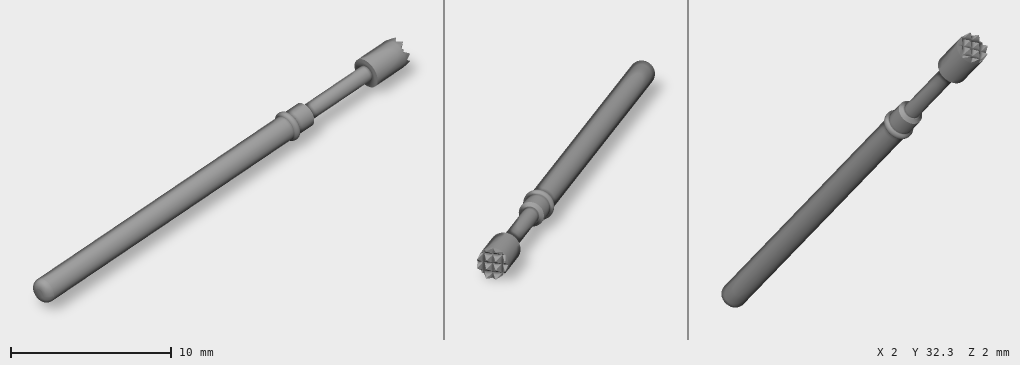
import cadquery as cq

TOTAL_LENGTH = 32.3

BARREL_RADIUS = 0.82
REAR_FACE_RADIUS = 0.35
REAR_ROUND_RADIUS = BARREL_RADIUS - REAR_FACE_RADIUS
BARREL_LENGTH = 24.0
BARREL_CHAMFER_LENGTH = 0.2
BARREL_CHAMFER_RADIUS = 0.6

RING_RADIUS = 1.0
RING_WIDTH = 0.5
RING_CENTRE_Y = 22.25

PLUNGER_RADIUS = 0.53
HEAD_RADIUS = 1.0
HEAD_LENGTH = 3.0
HEAD_START_Y = TOTAL_LENGTH - HEAD_LENGTH

CROWN_TAPER_LENGTH = 0.5
CROWN_FRONT_RADIUS = 0.96

POINT_PITCH = 0.6
MIDDLE_GROOVE_DEPTH = 0.43
OUTER_GROOVE_DEPTH = 0.5
OUTER_GROOVES_PER_SIDE = 2


def revolved_probe():
    """Barrel, press ring, plunger and head as one revolved profile."""
    ring_start = RING_CENTRE_Y - RING_WIDTH / 2
    ring_end = RING_CENTRE_Y + RING_WIDTH / 2
    profile = (
        cq.Workplane("XY")
        .lineTo(REAR_FACE_RADIUS, 0)
        .tangentArcPoint((BARREL_RADIUS, REAR_ROUND_RADIUS), relative=False)
        .lineTo(BARREL_RADIUS, ring_start)
        .threePointArc((RING_RADIUS, RING_CENTRE_Y), (BARREL_RADIUS, ring_end))
        .lineTo(BARREL_RADIUS, BARREL_LENGTH - BARREL_CHAMFER_LENGTH)
        .lineTo(BARREL_CHAMFER_RADIUS, BARREL_LENGTH)
        .lineTo(PLUNGER_RADIUS, BARREL_LENGTH)
        .lineTo(PLUNGER_RADIUS, HEAD_START_Y)
        .lineTo(HEAD_RADIUS, HEAD_START_Y)
        .lineTo(HEAD_RADIUS, TOTAL_LENGTH - CROWN_TAPER_LENGTH)
        .lineTo(CROWN_FRONT_RADIUS, TOTAL_LENGTH)
        .lineTo(0, TOTAL_LENGTH)
        .close()
    )
    return profile.revolve(360, (0, 0, 0), (0, 1, 0))


def crown_groove(offset, depth):
    """V groove running along Z through the whole head, centred at the given X."""
    half_width = POINT_PITCH / 2
    section = (
        cq.Workplane("XY", origin=(offset, TOTAL_LENGTH, -HEAD_RADIUS))
        .moveTo(-half_width, 0)
        .lineTo(0, -depth)
        .lineTo(half_width, 0)
        .close()
    )
    return section.extrude(2 * HEAD_RADIUS)


def cut_crown(probe):
    """Cut the same set of grooves twice, the second turned a quarter about the axis."""
    for step in range(-OUTER_GROOVES_PER_SIDE, OUTER_GROOVES_PER_SIDE + 1):
        depth = MIDDLE_GROOVE_DEPTH if step == 0 else OUTER_GROOVE_DEPTH
        groove = crown_groove(step * POINT_PITCH, depth)
        probe = probe.cut(groove)
        probe = probe.cut(groove.rotate((0, 0, 0), (0, 1, 0), 90))
    return probe


result = cut_crown(revolved_probe())